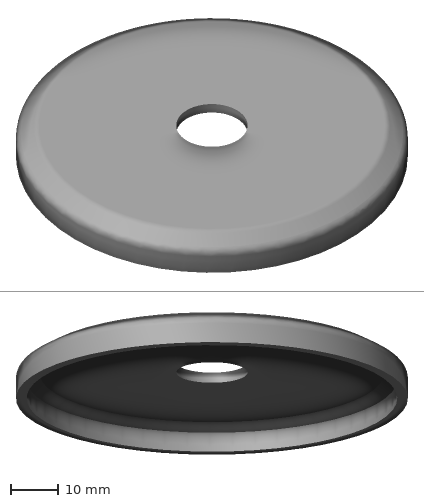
import cadquery as cq
import math

outer_radius = 41.3
height = 7.9
hole_diameter = 15.0
wall = 2.2
bevel_angle = math.radians(30)
bevel_drop = 2.5
edge_round = 2.0

shoulder_z = height - bevel_drop
crown_radius = outer_radius - bevel_drop / math.tan(bevel_angle)

inner_radius = outer_radius - wall
inner_shoulder_z = shoulder_z - wall * math.tan((math.pi / 2 - bevel_angle) / 2)
inner_crown_radius = crown_radius - wall * math.tan(bevel_angle / 2)
inner_height = height - wall


def bevelled_disc(side_radius, side_z, top_radius, top_z):
    """Solid disc with a conical bevel between its side and its top."""
    profile = [
        (0, 0),
        (side_radius, 0),
        (side_radius, side_z),
        (top_radius, top_z),
        (0, top_z),
    ]
    return cq.Workplane("XZ").polyline(profile).close().revolve(360, (0, 0, 0), (0, 1, 0))


body = bevelled_disc(outer_radius, shoulder_z, crown_radius, height)
body = body.edges("%CIRCLE").edges("not <Z").fillet(edge_round)

cavity = bevelled_disc(inner_radius, inner_shoulder_z, inner_crown_radius, inner_height)

hole = cq.Workplane("XY").circle(hole_diameter / 2).extrude(height)

result = body.cut(cavity).cut(hole)